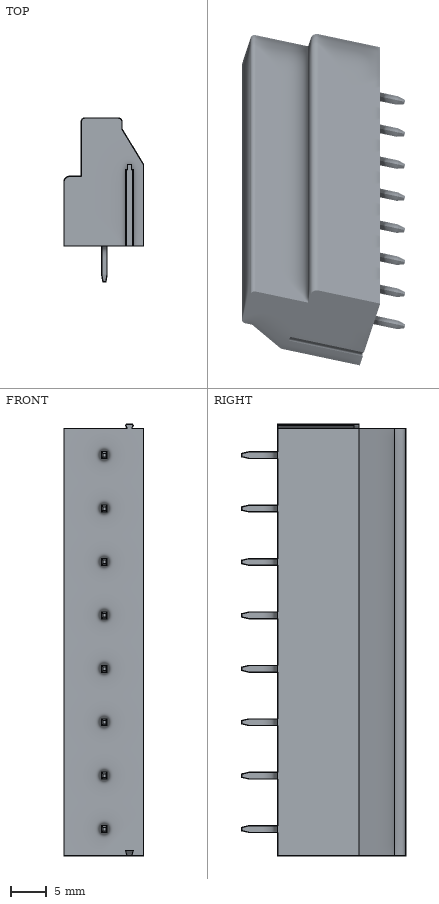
import cadquery as cq

pin_count = 8
body_height = 60
pin_pitch = body_height / pin_count
body_width = 11.2
body_depth = 18.0
step_width = 2.4
step_depth = 9.8
nose_right = 8.2
slope_start_depth = 16.4
slope_end_depth = 11.45
step_radius = 0.85
nose_radius = 0.55

total_height = 60.6
rail_height = total_height - body_height
rail_center_x = 9.2
rail_length = 10.7
rail_neck_width = 0.65
rail_wide_width = 1.1
rail_wide_height = 0.395
rail_top_width = 0.85
tongue_width = 0.6
tongue_length = 0.7
groove_depth = 0.7
groove_mouth_width = 0.65

pin_width = 0.8
pin_height = 0.95
pin_length = 5.0
pin_taper_length = 1.0
pin_tip_width = 0.4
pin_tip_height = 0.5
pin_x = 5.7


def make_housing():
    """Stepped housing with a sloped flank and rounded outer edges."""
    housing = (
        cq.Workplane("XY")
        .polyline([
            (0, 0),
            (body_width, 0),
            (body_width, slope_end_depth),
            (nose_right, slope_start_depth),
            (nose_right, body_depth),
            (step_width, body_depth),
            (step_width, step_depth),
            (0, step_depth),
        ])
        .close()
        .extrude(body_height)
    )
    step_edge = cq.selectors.NearestToPointSelector((0, step_depth, body_height / 2))
    housing = housing.edges(step_edge).fillet(step_radius)
    return housing.edges("|Z and >Y").fillet(nose_radius)


def make_rail():
    """Rail with undercut flanks and bevelled top edges, ending in a narrow tongue."""
    half_neck = rail_neck_width / 2
    half_wide = rail_wide_width / 2
    half_top = rail_top_width / 2
    bar = (
        cq.Workplane("XZ", origin=(rail_center_x, 0, body_height))
        .polyline([
            (-half_neck, 0),
            (half_neck, 0),
            (half_wide, rail_wide_height),
            (half_top, rail_height),
            (-half_top, rail_height),
            (-half_wide, rail_wide_height),
        ])
        .close()
        .extrude(-rail_length)
    )
    tongue = (
        cq.Workplane("XY", origin=(rail_center_x, 0, body_height))
        .box(tongue_width, rail_length + tongue_length, rail_height, centered=(True, False, False))
    )
    return bar.union(tongue)


def make_groove():
    """Dovetail groove, widest at its floor, open at the pin face."""
    half_mouth = groove_mouth_width / 2
    half_floor = rail_wide_width / 2
    return (
        cq.Workplane("XZ", origin=(rail_center_x, 0, 0))
        .polyline([
            (-half_mouth, 0),
            (half_mouth, 0),
            (half_floor, groove_depth),
            (-half_floor, groove_depth),
        ])
        .close()
        .extrude(-rail_length)
    )


def make_pin(z):
    """Rectangular pin pointing to -Y, ending in a short pyramid taper."""
    shank_length = pin_length - pin_taper_length
    shank = (
        cq.Workplane("XZ", origin=(pin_x, 0, z))
        .rect(pin_width, pin_height)
        .extrude(shank_length)
    )
    taper = (
        cq.Workplane("XZ", origin=(pin_x, -shank_length, z))
        .rect(pin_width, pin_height)
        .workplane(offset=pin_taper_length)
        .rect(pin_tip_width, pin_tip_height)
        .loft(ruled=True)
    )
    return shank.union(taper)


result = make_housing().cut(make_groove()).union(make_rail())
for index in range(pin_count):
    result = result.union(make_pin((index + 0.5) * pin_pitch))